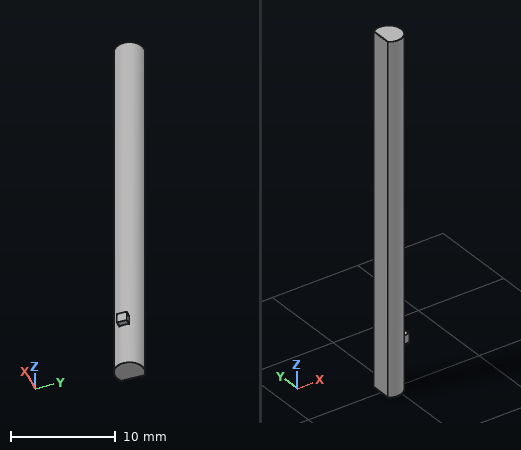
import cadquery as cq

rod_length = 40.0
rod_diameter = 3.0
rod_radius = rod_diameter / 2
flat_offset = 0.9

overall_width = 3.0
pin_tip = overall_width - flat_offset
pin_width = 1.0
pin_thickness = 1.05
pin_height = 5.3


def make_rod():
    round_bar = cq.Workplane("XY").circle(rod_radius).extrude(rod_length)
    kept_side = cq.Workplane("XY").box(
        flat_offset + rod_radius, rod_diameter, rod_length, centered=(False, True, False)
    )
    return round_bar.intersect(kept_side.translate((-flat_offset, 0, 0)))


def make_pin():
    return (
        cq.Workplane("YZ")
        .center(0, pin_height)
        .rect(pin_width, pin_thickness)
        .extrude(pin_tip)
    )


result = make_rod().union(make_pin())